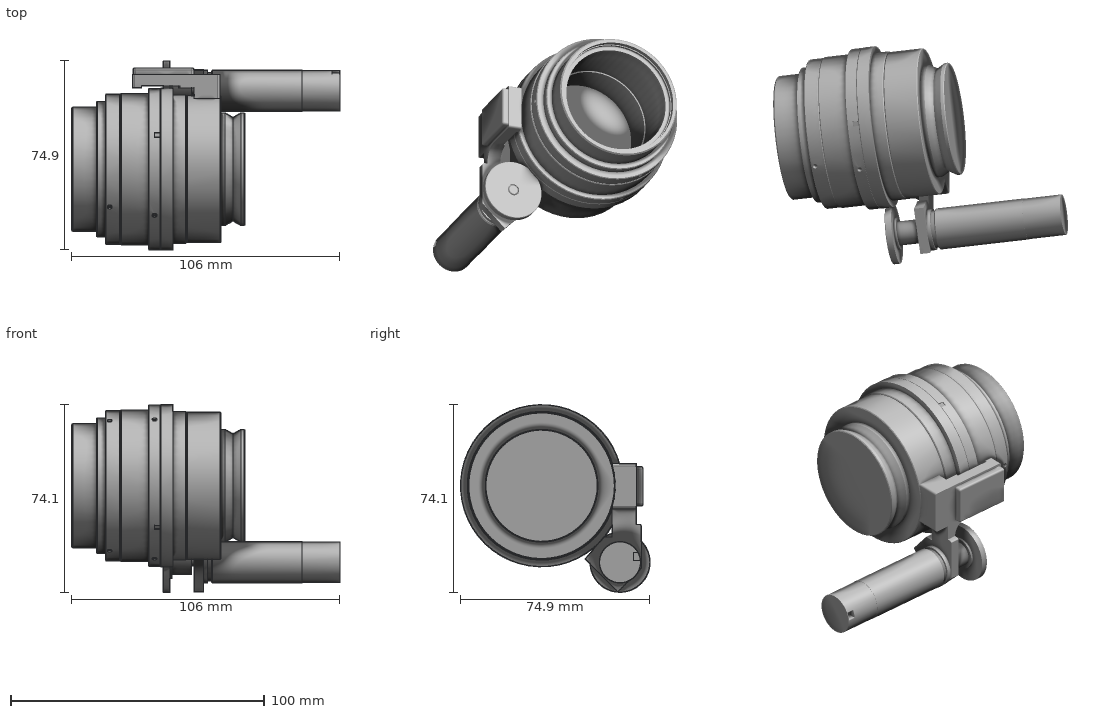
import cadquery as cq

FRONT_RIM_END, FRONT_RIM_R = 9.9, 24.6
COLLAR_END, COLLAR_R = 13.4, 26.8
FILTER_RING_END, FILTER_RING_R = 19.3, 29.7
BARREL_END, BARREL_R = 30.3, 30.0
STOP_RING_END, STOP_RING_R = 35.0, 31.9
FOCUS_RING_END, FOCUS_RING_R = 40.0, 32.0
NECK_END, NECK_R = 45.4, 29.4
REAR_BARREL_END, REAR_BARREL_R = 58.9, 29.0
LENS_LENGTH = 68.4
MOUNT_R = 22.3
MOUNT_GROOVE_R = 20.5
MOUNT_GROOVE_START, MOUNT_GROOVE_END = 60.5, 66.9
MOUNT_CHAMFER = 0.3
STEP_CHAMFER = 0.3
RIM_CHAMFER = 0.5

OPENING_R, OPENING_DEPTH = 22.9, 2.1
SEAT_R, SEAT_DEPTH = 22.6, 3.3
BORE_R, BORE_DEPTH = 20.9, 42.4
BORE_RELIEF_R, BORE_RELIEF_START, BORE_RELIEF_END = 21.4, 4.1, 27.5

SCREW_HOLE_D, SCREW_HOLE_DEPTH = 1.2, 1.1
COUNTERSINK_D, COUNTERSINK_DEPTH = 1.9, 0.4
FILTER_SCREW_X, FILTER_SCREW_ANGLE = 15.1, 60.0
STOP_SCREW_X, STOP_SCREW_ANGLE = 32.8, 55.2
SCREWS_PER_RING = 3
SLOT_WIDTH = 1.9
SLOT_START = 32.8
SLOT_DEPTH = 0.5
SLOT_ANGLES = (115.2, -31.0)

DRIVE_Y, DRIVE_Z = 31.0, -30.2
WHEEL_START, WHEEL_END, WHEEL_R = 36.1, 38.8, 11.9
WHEEL_CHAMFER = 0.2
HUB_FLANGE_END, HUB_FLANGE_R = 39.6, 6.4
HUB_END, HUB_R = 47.3, 4.8
SHAFT_R = 1.5
FLANGE_END, MOTOR_R = 53.7, 8.2
MOTOR_NECK_END, MOTOR_NECK_R = 55.2, 7.3
MOTOR_CONE_END = 55.7
MOTOR_BODY_END = 91.0
END_CAP_R = 8.1
DRIVE_END = 106.0
SHAFT_RECESS_R, SHAFT_RECESS_DEPTH = 2.3, 0.5
SHAFT_END_R = 2.2
CABLE_SLOT_START, CABLE_SLOT_END = 102.8, 105.8
CABLE_SLOT_BOTTOM, CABLE_SLOT_TOP = 0.6, 3.8
CABLE_SLOT_FLOOR = 5.3

ARM_START = 24.0
ARM_BOTTOM, ARM_TOP = -9.1, 8.7
ARM_INNER_Y, ARM_OUTER_Y = 32.1, 37.4
ARM_CORNER_R = 1.0
RELIEF_START, RELIEF_END, RELIEF_Y = 27.7, 42.8, 33.0
FOOT_START, FOOT_END = 48.3, 58.6
LUG_END = 52.2
LUG_TOP = -15.3
LUG_INNER_Y, LUG_OUTER_Y = 27.9, 39.4
LUG_STEP_Z, LUG_STEP_Y = -20.1, 24.6
LUG_TIP_Y, LUG_TIP_Z = 17.2, -28.9
LUG_BOTTOM = -41.9
LUG_CHAMFER = 0.5
COVER_START = 24.3
COVER_OUTER_Y = 40.1
COVER_BOTTOM, COVER_TOP = -8.1, 7.5
COVER_CORNER_R = 1.0
COVER_EDGE_R = 0.8


def rod(start, end, radius, y=0.0, z=0.0):
    """Cylinder along X from start to end, centred on (y, z)."""
    return cq.Workplane("YZ", origin=(start, y, z)).circle(radius).extrude(end - start)


def box(x0, x1, y0, y1, z0, z1):
    """Box given by its limits along X, Y and Z."""
    return cq.Workplane("XY").box(x1 - x0, y1 - y0, z1 - z0, centered=False).translate((x0, y0, z0))


def turned_about_lens(shape, angle):
    """Turn a shape built on the -Y side about the lens axis, towards +Z for positive angles."""
    return shape.rotate((0, 0, 0), (1, 0, 0), -angle)


def lens_steps():
    """Stepped outside of the lens, without the mount."""
    steps = [
        (FRONT_RIM_END, FRONT_RIM_R, RIM_CHAMFER, 0),
        (COLLAR_END, COLLAR_R, STEP_CHAMFER, 0),
        (FILTER_RING_END, FILTER_RING_R, STEP_CHAMFER, STEP_CHAMFER),
        (BARREL_END, BARREL_R, STEP_CHAMFER, 0),
        (STOP_RING_END, STOP_RING_R, STEP_CHAMFER, 0),
        (FOCUS_RING_END, FOCUS_RING_R, STEP_CHAMFER, 0),
        (NECK_END, NECK_R, 0, STEP_CHAMFER),
        (REAR_BARREL_END, REAR_BARREL_R, STEP_CHAMFER, STEP_CHAMFER),
    ]
    outside = cq.Workplane("XY")
    start = 0.0
    for end, radius, front_chamfer, rear_chamfer in steps:
        step = rod(start, end, radius)
        if front_chamfer:
            step = step.faces("<X").chamfer(front_chamfer)
        if rear_chamfer:
            step = step.faces(">X").chamfer(rear_chamfer)
        outside = outside.union(step)
        start = end
    return outside


def lens_mount():
    """Rear mount with its V groove."""
    groove_middle = (MOUNT_GROOVE_START + MOUNT_GROOVE_END) / 2
    return (
        cq.Workplane("XY")
        .moveTo(REAR_BARREL_END, 0)
        .lineTo(REAR_BARREL_END, MOUNT_R)
        .lineTo(MOUNT_GROOVE_START, MOUNT_R)
        .lineTo(groove_middle, MOUNT_GROOVE_R)
        .lineTo(MOUNT_GROOVE_END, MOUNT_R)
        .lineTo(LENS_LENGTH - MOUNT_CHAMFER, MOUNT_R)
        .lineTo(LENS_LENGTH, MOUNT_R - MOUNT_CHAMFER)
        .lineTo(LENS_LENGTH, 0)
        .close()
        .revolve(360, (0, 0, 0), (1, 0, 0))
    )


def front_opening():
    """Stepped bore open to the front, widened behind the entry lip of the bore."""
    return (
        rod(0, OPENING_DEPTH, OPENING_R)
        .union(rod(0, SEAT_DEPTH, SEAT_R))
        .union(rod(0, BORE_DEPTH, BORE_R))
        .union(rod(BORE_RELIEF_START, BORE_RELIEF_END, BORE_RELIEF_R))
    )


def screw_hole(x, ring_radius, angle):
    """Countersunk blind hole, radial to the ring, ready to be cut."""
    profile = (
        cq.Workplane("XY")
        .lineTo(COUNTERSINK_D / 2, 0)
        .lineTo(SCREW_HOLE_D / 2, COUNTERSINK_DEPTH)
        .lineTo(SCREW_HOLE_D / 2, SCREW_HOLE_DEPTH)
        .lineTo(0, SCREW_HOLE_DEPTH)
        .close()
    )
    hole = profile.revolve(360, (0, 0, 0), (0, 1, 0)).translate((x, -ring_radius, 0))
    return turned_about_lens(hole, angle)


def stop_slot(angle):
    """Shallow slot across the rear part of the stop ring, ready to be cut."""
    half = SLOT_WIDTH / 2
    slot = box(
        SLOT_START, STOP_RING_END,
        -STOP_RING_R - SLOT_DEPTH, -STOP_RING_R + SLOT_DEPTH,
        -half, half,
    )
    return turned_about_lens(slot, angle)


def make_lens():
    """Lens body with its bore, screw holes, slots and the recess for the drive wheel."""
    lens = lens_steps().union(lens_mount()).cut(front_opening())
    for i in range(SCREWS_PER_RING):
        turn = i * 360 / SCREWS_PER_RING
        lens = lens.cut(screw_hole(FILTER_SCREW_X, FILTER_RING_R, FILTER_SCREW_ANGLE + turn))
        lens = lens.cut(screw_hole(STOP_SCREW_X, STOP_RING_R, STOP_SCREW_ANGLE + turn))
    for angle in SLOT_ANGLES:
        lens = lens.cut(stop_slot(angle))
    return lens.cut(rod(WHEEL_START, WHEEL_END, WHEEL_R, DRIVE_Y, DRIVE_Z))


def drive_rod(start, end, radius):
    """Cylinder on the axis of the focus drive."""
    return rod(start, end, radius, DRIVE_Y, DRIVE_Z)


def make_drive():
    """Wheel, hub, shaft and motor on one axis."""
    recess = drive_rod(WHEEL_START, WHEEL_START + SHAFT_RECESS_DEPTH, SHAFT_RECESS_R)
    shaft_end = drive_rod(WHEEL_START, WHEEL_END, SHAFT_END_R).faces("<X").chamfer(SHAFT_RECESS_DEPTH)
    wheel = drive_rod(WHEEL_START, WHEEL_END, WHEEL_R).faces("<X").chamfer(WHEEL_CHAMFER)
    wheel = wheel.cut(recess).union(shaft_end)
    motor_body = (
        drive_rod(MOTOR_NECK_END, MOTOR_BODY_END, MOTOR_R)
        .faces("<X")
        .chamfer(MOTOR_CONE_END - MOTOR_NECK_END)
    )
    cable_slot = box(
        CABLE_SLOT_START, CABLE_SLOT_END,
        DRIVE_Y + CABLE_SLOT_FLOOR, DRIVE_Y + MOTOR_R,
        DRIVE_Z + CABLE_SLOT_BOTTOM, DRIVE_Z + CABLE_SLOT_TOP,
    )
    return (
        wheel
        .union(drive_rod(WHEEL_END, HUB_FLANGE_END, HUB_FLANGE_R))
        .union(drive_rod(HUB_FLANGE_END, HUB_END, HUB_R))
        .union(drive_rod(HUB_END, LUG_END, SHAFT_R))
        .union(drive_rod(LUG_END, FLANGE_END, MOTOR_R))
        .union(drive_rod(FLANGE_END, MOTOR_NECK_END, MOTOR_NECK_R))
        .union(motor_body)
        .union(drive_rod(MOTOR_BODY_END, DRIVE_END, END_CAP_R))
        .cut(cable_slot)
    )


def bracket_arm():
    """Arm along the lens with a foot on the rear barrel."""
    arm = box(ARM_START, FOOT_END, ARM_INNER_Y, ARM_OUTER_Y, ARM_BOTTOM, ARM_TOP)
    foot = box(FOOT_START, FOOT_END, LUG_INNER_Y, ARM_OUTER_Y, ARM_BOTTOM, ARM_TOP)
    arm = arm.union(foot)
    arm = arm.edges("|Y and (<X or >X)").fillet(ARM_CORNER_R)
    relief = box(RELIEF_START, RELIEF_END, 0, RELIEF_Y, ARM_BOTTOM, ARM_TOP)
    return arm.cut(relief)


def arm_gusset():
    """Concave quarter round between the underside of the arm and the lug."""
    radius = ARM_BOTTOM - LUG_TOP
    gusset = box(FOOT_START - radius, FOOT_START, ARM_INNER_Y, ARM_OUTER_Y, LUG_TOP, ARM_BOTTOM)
    scoop = (
        cq.Workplane("XZ", origin=(FOOT_START - radius, ARM_OUTER_Y, LUG_TOP))
        .circle(radius)
        .extrude(ARM_OUTER_Y - ARM_INNER_Y)
    )
    web = box(FOOT_START, LUG_END, LUG_INNER_Y, ARM_OUTER_Y, LUG_TOP, ARM_BOTTOM)
    return gusset.cut(scoop).union(web)


def bracket_lug():
    """Plate that carries the motor."""
    bottom_y = LUG_TIP_Y + (LUG_TIP_Z - LUG_BOTTOM)
    outer_corner_z = LUG_BOTTOM + (LUG_OUTER_Y - bottom_y)
    lug = (
        cq.Workplane("YZ", origin=(FOOT_START, 0, 0))
        .moveTo(LUG_INNER_Y, LUG_TOP)
        .lineTo(LUG_INNER_Y, LUG_STEP_Z)
        .lineTo(LUG_STEP_Y, LUG_STEP_Z)
        .lineTo(LUG_TIP_Y, LUG_TIP_Z)
        .lineTo(bottom_y, LUG_BOTTOM)
        .lineTo(LUG_OUTER_Y, outer_corner_z)
        .lineTo(LUG_OUTER_Y, LUG_TOP - LUG_CHAMFER)
        .lineTo(LUG_OUTER_Y - LUG_CHAMFER, LUG_TOP)
        .close()
        .extrude(LUG_END - FOOT_START)
    )
    return lug.cut(drive_rod(FOOT_START, LUG_END, SHAFT_R))


def bracket_cover():
    """Raised pad on the outer side of the arm."""
    cover = box(COVER_START, FOOT_START, ARM_OUTER_Y, COVER_OUTER_Y, COVER_BOTTOM, COVER_TOP)
    return cover.edges("|Y").fillet(COVER_CORNER_R).faces(">Y").edges().fillet(COVER_EDGE_R)


def make_bracket():
    """Arm, gusset, lug and cover as one piece, hollowed where it sits on the rear barrel."""
    bracket = bracket_arm().union(arm_gusset()).union(bracket_lug()).union(bracket_cover())
    return bracket.cut(rod(FOOT_START, FOOT_END, REAR_BARREL_R))


lens = make_lens()
drive = make_drive()
bracket = make_bracket()

result = cq.Compound.makeCompound([lens.val(), drive.val(), bracket.val()])